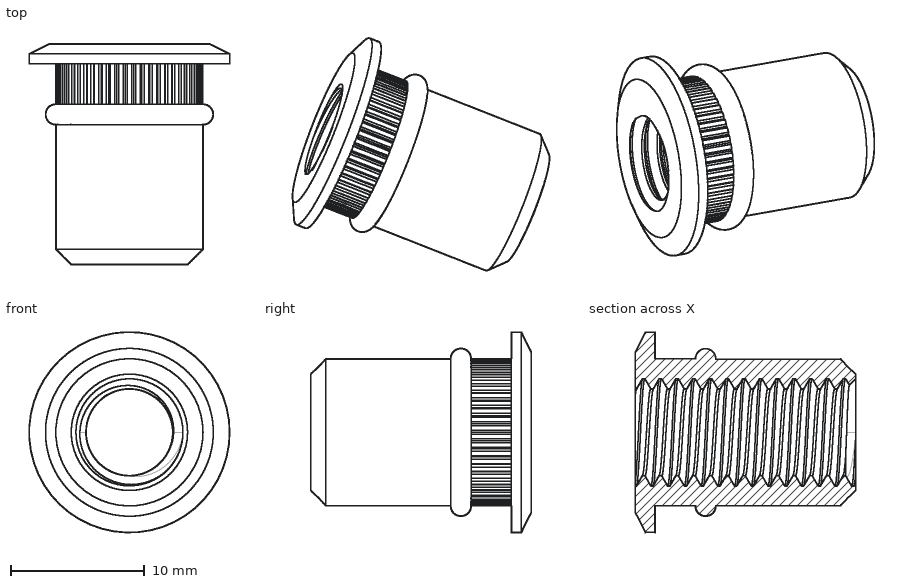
import cadquery as cq
import math


flange_radius = 7.5
flange_thickness = 1.5
flange_top_radius = 6.0
flange_bevel_height = 0.75

body_radius = 5.5
body_length = 15.0
nose_chamfer = 1.15

bead_radius = 0.77
bead_top_y = -3.0
bead_center_y = bead_top_y - bead_radius
bead_bottom_y = bead_center_y - bead_radius

groove_count = 54
groove_width = 0.29
groove_depth = groove_width / 2
groove_overlap = 0.05

thread_pitch = 1.25
thread_root_radius = 4.0
bore_radius = 3.235
thread_half_angle = math.radians(30)
thread_root_width = thread_pitch / 8
thread_overlap = 0.1
runout_turns = 1
entry_chamfer = thread_root_radius - bore_radius


def make_body():
    """Revolved solid: flange, shank, bead and chamfered nose."""
    return (
        cq.Workplane("XY")
        .moveTo(0, flange_thickness)
        .lineTo(flange_top_radius, flange_thickness)
        .lineTo(flange_radius, flange_thickness - flange_bevel_height)
        .lineTo(flange_radius, 0)
        .lineTo(body_radius, 0)
        .lineTo(body_radius, bead_top_y)
        .threePointArc((body_radius + bead_radius, bead_center_y), (body_radius, bead_bottom_y))
        .lineTo(body_radius, nose_chamfer - body_length)
        .lineTo(body_radius - nose_chamfer, -body_length)
        .lineTo(0, -body_length)
        .close()
        .revolve(360, (0, 0, 0), (0, 1, 0))
    )


def make_knurl_grooves():
    """V-grooves along the shank, with one centred on the +X direction."""
    mouth_radius = body_radius + groove_overlap
    mouth_half_width = groove_width / 2 * (groove_depth + groove_overlap) / groove_depth
    groove = (
        cq.Workplane("XZ")
        .moveTo(body_radius - groove_depth, 0)
        .lineTo(mouth_radius, mouth_half_width)
        .lineTo(mouth_radius, -mouth_half_width)
        .close()
        .extrude(-bead_top_y)
    )
    spacing = 360 / groove_count
    grooves = []
    for index in range(groove_count):
        grooves.append(groove.rotate((0, 0, 0), (0, 1, 0), index * spacing).val())
    return cq.Workplane(cq.Compound.makeCompound(grooves))


def make_bore():
    """Through bore at the thread's minor diameter, with a conical entry at the nose."""
    return (
        cq.Workplane("XY")
        .moveTo(0, flange_thickness)
        .lineTo(bore_radius, flange_thickness)
        .lineTo(bore_radius, entry_chamfer - body_length)
        .lineTo(thread_root_radius, -body_length)
        .lineTo(0, -body_length)
        .close()
        .revolve(360, (0, 0, 0), (0, 1, 0))
    )


def make_helix(turns):
    """Right-hand helix along +Z starting at +X, with one edge per turn."""
    one_turn = cq.Wire.makeHelix(thread_pitch, thread_pitch, bore_radius)
    edges = []
    for turn in range(turns):
        edges += one_turn.translate(cq.Vector(0, 0, turn * thread_pitch)).Edges()
    return cq.Wire.assembleEdges(edges)


def make_thread_groove():
    """Right-hand helical groove, running out past both ends of the part."""
    inner_radius = bore_radius - thread_overlap
    root_half_width = thread_root_width / 2
    flank_run = (thread_root_radius - inner_radius) * math.tan(thread_half_angle)
    mouth_half_width = root_half_width + flank_run
    turns = math.ceil((body_length + flange_thickness) / thread_pitch) + 2 * runout_turns
    groove = (
        cq.Workplane("XZ")
        .moveTo(inner_radius, -mouth_half_width)
        .lineTo(thread_root_radius, -root_half_width)
        .lineTo(thread_root_radius, root_half_width)
        .lineTo(inner_radius, mouth_half_width)
        .close()
        .sweep(cq.Workplane(make_helix(turns)), isFrenet=True)
    )
    start_y = -body_length - root_half_width - (runout_turns + 0.5) * thread_pitch
    groove = groove.rotate((0, 0, 0), (1, 0, 0), -90)
    return groove.rotate((0, 0, 0), (0, 1, 0), 180).translate((0, start_y, 0))


body = make_body().cut(make_bore())
body = body.cut(make_knurl_grooves())
body = body.cut(make_thread_groove())
result = cq.Workplane(body.solids().val())